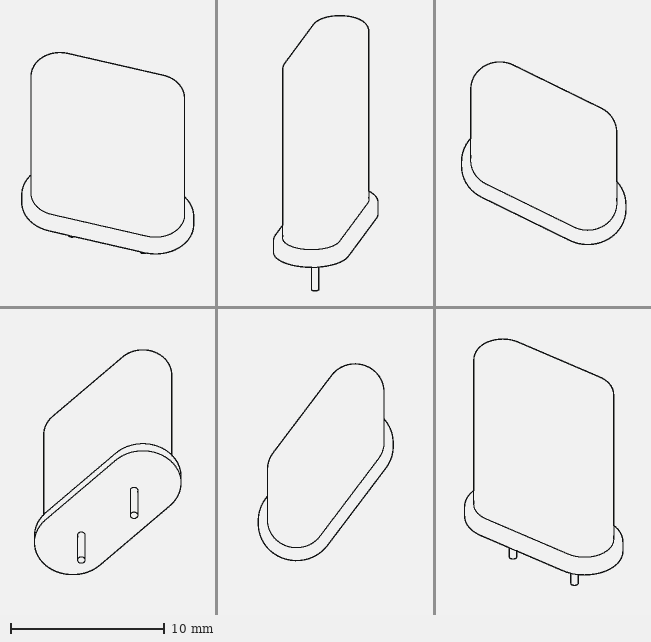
import cadquery as cq

total_height = 16.46
base_length = 11.5
base_width = 5.0

end_centre_spacing = base_length - base_width
base_height = 1.0
base_edge_radius = 0.2
can_width = 3.8
can_length = end_centre_spacing + can_width
can_edge_radius = 0.5

pin_diameter = 0.5
pin_length = 3.0
pin_spacing = 4.89

can_height = total_height - pin_length - base_height


def stadium(length, width, height, bottom, top_edge_radius):
    """Upright prism with full-round ends and a rounded top edge."""
    return (
        cq.Workplane("XY", origin=(0, 0, bottom))
        .slot2D(length, width)
        .extrude(height)
        .faces(">Z")
        .edges()
        .fillet(top_edge_radius)
    )


def make_housing():
    """Can standing on its wider base flange; the flange underside is at Z = 0."""
    base = stadium(base_length, base_width, base_height, 0, base_edge_radius)
    can = stadium(can_length, can_width, can_height, base_height, can_edge_radius)
    return base.union(can)


def make_pin(x):
    """Round lead hanging from the underside of the base."""
    return cq.Workplane("XY").center(x, 0).circle(pin_diameter / 2).extrude(-pin_length)


housing = make_housing()
pins = [make_pin(side * pin_spacing / 2) for side in (-1, 1)]

result = cq.Compound.makeCompound([housing.val(), *[pin.val() for pin in pins]])